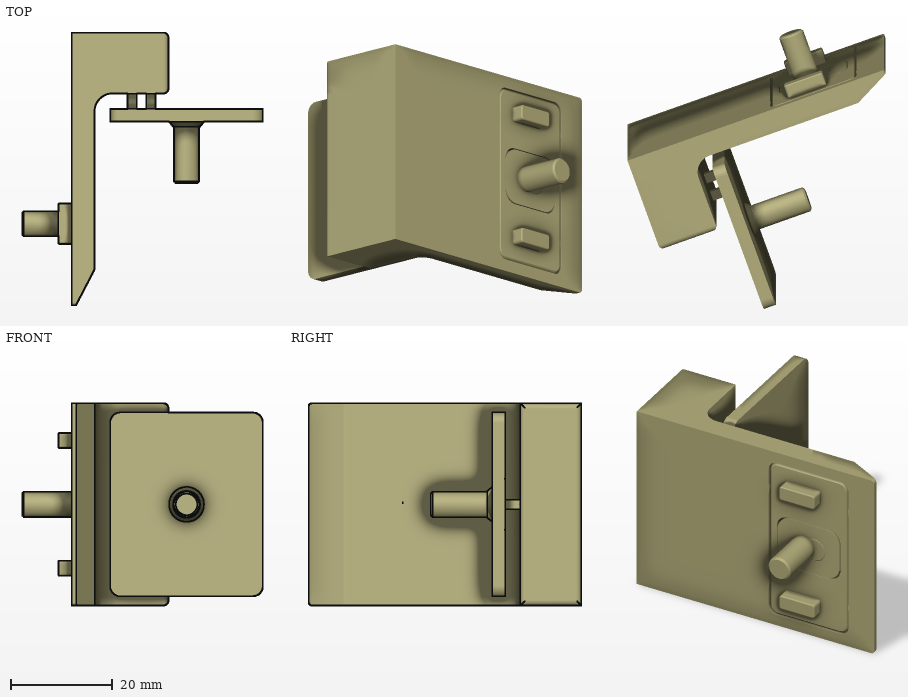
import cadquery as cq

BRACKET_LENGTH = 53.5
BRACKET_HEIGHT = 39.7
ARM_THICKNESS = 4.5
BLOCK_WIDTH = 19.0
BLOCK_DEPTH = 12.0
INNER_FILLET = 3.5
TIP_THICKNESS = 0.85
WEDGE_LENGTH = 7.0
EDGE_FILLET = 1.0
TIP_CORNER_FILLET = 0.65

CLEARANCE = 0.1
POCKET_WIDTH = 18.0
POCKET_HEIGHT = 35.0
POCKET_DEPTH = 2.5
POCKET_Y = 14.75
POCKET_CORNER = 2.0
FOOT_CHAMFER = 0.5
CRUSH_RIB_DIAMETER = 10.0
CRUSH_RIB_Z = 11.0

KEY_LENGTH = 7.95
KEY_HEIGHT = 3.0
KEY_PROJECTION = 2.6
KEY_Z = 12.5
KEY_CORNER = 0.55
KEY_END_FILLET = 0.25

WINDOW_WIDTH = 14.35
WINDOW_HEIGHT = 11.35
WINDOW_CORNER = 2.6
PIN_OFFSET = 1.25
SLIDER_CLEARANCE = 0.185
SLIDER_CORNER = 3.0
SPOT_CHAMFER = 0.15

SHANK_DIAMETER = 5.0
SHANK_CHAMFER = 0.4
PIN_PROJECTION = 9.75

PLATE_WIDTH = 29.95
PLATE_HEIGHT = 36.05
PLATE_THICKNESS = 2.5
PLATE_X = 22.5
PLATE_CORNER = 2.0
PLATE_GAP = 3.0
POST_SIZE = 1.85
POST_PITCH = 3.7
POSTS_X = 13.7

HEAD_DIAMETER = 10.0
COLLAR_DIAMETER = 6.85
NECK_DIAMETER = 5.3
CONE_PROJECTION = 0.95
STUD_PROJECTION = 12.05

BLOCK_FACE_Y = BRACKET_LENGTH - BLOCK_DEPTH
PLATE_BACK_Y = BLOCK_FACE_Y - PLATE_GAP
PLATE_FRONT_Y = PLATE_BACK_Y - PLATE_THICKNESS
KEY_Y = POCKET_Y + PIN_OFFSET
PIN_Y = POCKET_Y + PIN_OFFSET
SPOT_Y = POCKET_Y - PIN_OFFSET


def pad(width, height, corner, x_start, x_end):
    """Rounded plate centred on the pocket, between two X positions."""
    return (
        cq.Workplane("YZ", origin=(x_start, POCKET_Y, 0))
        .rect(width, height)
        .extrude(x_end - x_start)
        .edges("|X")
        .fillet(corner)
    )


def round_bar(y, diameter, x_start, x_end):
    """Cylinder along X at mid height."""
    return cq.Workplane("YZ", origin=(x_start, y, 0)).circle(diameter / 2).extrude(x_end - x_start)


def crush_ribs():
    """Shallow round ribs that bridge the clearance on the two long walls of the pocket."""
    axis_offset = POCKET_WIDTH / 2 - CLEARANCE + CRUSH_RIB_DIAMETER / 2
    centres = [(side * axis_offset, end * CRUSH_RIB_Z) for side in (-1, 1) for end in (-1, 1)]
    return (
        cq.Workplane("YZ", origin=(0, POCKET_Y, 0))
        .pushPoints(centres)
        .circle(CRUSH_RIB_DIAMETER / 2)
        .extrude(POCKET_DEPTH)
    )


def make_bracket():
    body = (
        cq.Workplane("XY", origin=(0, 0, -BRACKET_HEIGHT / 2))
        .moveTo(0, 0)
        .lineTo(TIP_THICKNESS, 0)
        .lineTo(ARM_THICKNESS, WEDGE_LENGTH)
        .lineTo(ARM_THICKNESS, BLOCK_FACE_Y - INNER_FILLET)
        .radiusArc((ARM_THICKNESS + INNER_FILLET, BLOCK_FACE_Y), INNER_FILLET)
        .lineTo(BLOCK_WIDTH, BLOCK_FACE_Y)
        .lineTo(BLOCK_WIDTH, BRACKET_LENGTH)
        .lineTo(0, BRACKET_LENGTH)
        .close()
        .extrude(BRACKET_HEIGHT)
    )
    body = body.faces(">X").edges().fillet(EDGE_FILLET)
    body = body.faces("<Y").edges("|X").fillet(TIP_CORNER_FILLET)
    shoulder = cq.selectors.NearestToPointSelector((ARM_THICKNESS, WEDGE_LENGTH, 0))
    body = body.edges("|Z").edges(shoulder).fillet(EDGE_FILLET)
    pocket = pad(POCKET_WIDTH, POCKET_HEIGHT, POCKET_CORNER, 0, POCKET_DEPTH)
    return body.cut(pocket.cut(crush_ribs()))


def make_foot():
    foot = pad(
        POCKET_WIDTH - 2 * CLEARANCE, POCKET_HEIGHT - 2 * CLEARANCE, POCKET_CORNER, 0, POCKET_DEPTH
    )
    foot = foot.faces("<X").edges().chamfer(FOOT_CHAMFER)
    foot = foot.cut(pad(WINDOW_WIDTH, WINDOW_HEIGHT, WINDOW_CORNER, 0, POCKET_DEPTH))
    for z in (-KEY_Z, KEY_Z):
        key = (
            cq.Workplane("YZ", origin=(0, KEY_Y, z))
            .rect(KEY_LENGTH, KEY_HEIGHT)
            .extrude(-KEY_PROJECTION)
            .edges("|X")
            .fillet(KEY_CORNER)
            .faces("<X")
            .edges()
            .fillet(KEY_END_FILLET)
        )
        foot = foot.union(key)
    return foot


def make_slider():
    """Plate with the pin's hole and, mirrored about its centre, a flush round spot of the same size."""
    slider = pad(
        WINDOW_WIDTH - 2 * SLIDER_CLEARANCE,
        WINDOW_HEIGHT - 2 * SLIDER_CLEARANCE,
        SLIDER_CORNER,
        0,
        POCKET_DEPTH,
    )
    spot = round_bar(SPOT_Y, SHANK_DIAMETER, 0, POCKET_DEPTH)
    chamfered_spot = spot.faces("<X").chamfer(SPOT_CHAMFER)
    pin_hole = round_bar(PIN_Y, SHANK_DIAMETER, 0, POCKET_DEPTH)
    return slider.cut(spot).union(chamfered_spot).cut(pin_hole)


def make_pin():
    pin = round_bar(PIN_Y, SHANK_DIAMETER, -PIN_PROJECTION, POCKET_DEPTH)
    return pin.faces("<X").chamfer(SHANK_CHAMFER)


def make_stud():
    """Revolved about a line along Y; the profile runs from the head down to the shank's end."""
    head_radius = HEAD_DIAMETER / 2
    shank_radius = SHANK_DIAMETER / 2
    neck_radius = NECK_DIAMETER / 2
    cone_end_y = PLATE_FRONT_Y - CONE_PROJECTION
    cone_slope = CONE_PROJECTION / (COLLAR_DIAMETER / 2 - neck_radius)
    cone_start_y = cone_end_y + cone_slope * (head_radius - neck_radius)
    end_y = PLATE_FRONT_Y - STUD_PROJECTION
    return (
        cq.Workplane("XY", origin=(PLATE_X, 0, 0))
        .moveTo(0, PLATE_BACK_Y)
        .lineTo(head_radius, PLATE_BACK_Y)
        .lineTo(head_radius, cone_start_y)
        .lineTo(neck_radius, cone_end_y)
        .lineTo(shank_radius, cone_end_y)
        .lineTo(shank_radius, end_y + SHANK_CHAMFER)
        .lineTo(shank_radius - SHANK_CHAMFER, end_y)
        .lineTo(0, end_y)
        .close()
        .revolve(360, (0, 0, 0), (0, 1, 0))
    )


def make_plate(stud):
    plate = (
        cq.Workplane("XZ", origin=(PLATE_X, PLATE_BACK_Y, 0))
        .rect(PLATE_WIDTH, PLATE_HEIGHT)
        .extrude(PLATE_THICKNESS)
        .edges("|Y")
        .fillet(PLATE_CORNER)
    )
    posts = (
        cq.Workplane("XZ", origin=(POSTS_X, BLOCK_FACE_Y, 0))
        .pushPoints([(-POST_PITCH / 2, 0), (POST_PITCH / 2, 0)])
        .rect(POST_SIZE, POST_SIZE)
        .extrude(PLATE_GAP)
    )
    return plate.union(posts).cut(stud)


bracket = make_bracket()
foot = make_foot()
slider = make_slider()
pin = make_pin()
stud = make_stud()
plate = make_plate(stud)

result = cq.Compound.makeCompound(
    [bracket.val(), foot.val(), slider.val(), pin.val(), plate.val(), stud.val()]
)